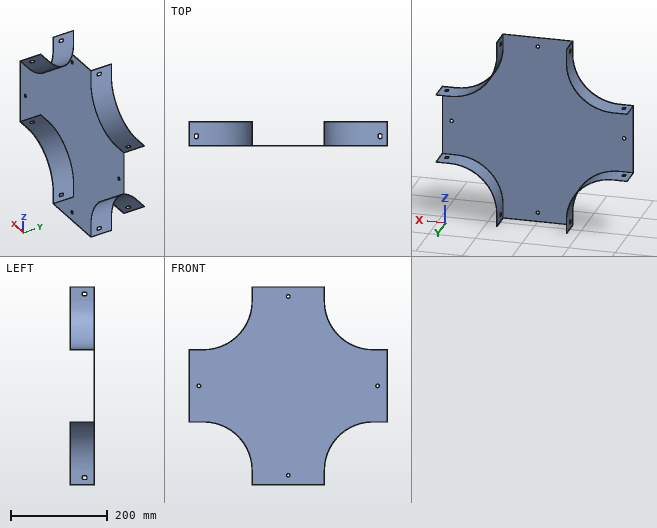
import cadquery as cq

span = 410.0
depth = 50.0
arm_width = 150.0
straight_length = 30.0
sheet = 0.6

base_hole_diameter = 7.0
base_hole_inset = 20.0
slot_width = 7.0
slot_diameter = 10.0
slot_height = 20.0

half_span = span / 2
half_width = arm_width / 2
bend_start = half_span - straight_length
bend_radius = bend_start - half_width
slot_position = half_span - straight_length / 2
front_face = -depth / 2


def front_plane():
    """Workplane on the outer base face, with local x = X, local y = Z and normal -Y."""
    return cq.Workplane("XZ", origin=(0, front_face, 0))


def corner_cutout(radius):
    """Full-depth corner prism bounded by two straight flanges and a concave bend."""
    wall_line = bend_start - radius
    outside = 2 * half_span
    middle = bend_start - radius * 2 ** -0.5
    return (
        front_plane()
        .moveTo(wall_line, outside)
        .lineTo(wall_line, bend_start)
        .threePointArc((middle, middle), (bend_start, wall_line))
        .lineTo(outside, wall_line)
        .lineTo(outside, outside)
        .close()
        .extrude(-depth)
    )


def four_around(body):
    """The body repeated at quarter turns about the Y axis."""
    copies = body
    for turn in range(1, 4):
        copies = copies.union(body.rotate((0, 0, 0), (0, 1, 0), 90 * turn))
    return copies


def cross_block():
    """Solid cross of full depth with concave round corners."""
    square = front_plane().rect(span, span).extrude(-depth)
    return square.cut(four_around(corner_cutout(bend_radius)))


def inner_space():
    """Room between the flanges, open at the arm ends and at the +Y side."""
    block = front_plane().rect(span, span).extrude(-depth)
    block = block.cut(four_around(corner_cutout(bend_radius + sheet)))
    return block.translate((0, sheet, 0))


def base_holes():
    """One round hole near the end of each arm."""
    hole = (
        front_plane()
        .center(half_span - base_hole_inset, 0)
        .circle(base_hole_diameter / 2)
        .extrude(-sheet)
    )
    return four_around(hole)


def flange_slots():
    """Round holes with two flats, through both straight flanges of each arm."""
    reach = half_width + sheet
    slot_plane = cq.Workplane("XY").center(slot_position, front_face + slot_height)
    round_hole = slot_plane.circle(slot_diameter / 2).extrude(reach, both=True)
    flats = slot_plane.rect(slot_width, slot_diameter).extrude(reach, both=True)
    return four_around(round_hole.intersect(flats))


result = cross_block().cut(inner_space()).cut(base_holes()).cut(flange_slots())